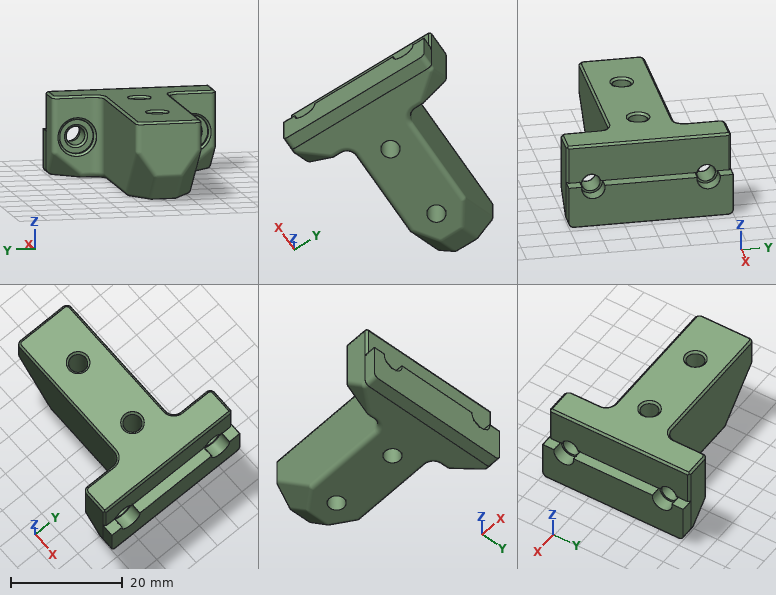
import cadquery as cq
import math

length = 37.0
width = 30.0
height = 15.0

arm_width = 12.0
flange_front = 29.0
flange_back = 34.93
inner_corner_radius = 2.0

edge_radius = 1.0
edge_chamfer = 0.4

strip_front = flange_back - edge_chamfer
strip_height = 7.8

tip_bevel = 5.0
tip_side_chamfer = 3.5
flange_corner_depth = 5.0
flange_corner_width = 6.0

hole_diameter = 3.4
relief_diameter = hole_diameter + 2 * edge_chamfer
arm_hole_positions = (10.0, 25.0)
flange_hole_offset = 10.5
flange_hole_height = height / 2
counterbore_diameter = 6.2
counterbore_depth = 1.0

tolerance = 0.005


def t_block():
    """Plain T-shaped block, full height, with rounded inner corners."""
    arm = cq.Workplane("XY").box(length, arm_width, height, centered=(False, True, False))
    flange = (
        cq.Workplane("XY")
        .box(length - flange_front, width, height, centered=(False, True, False))
        .translate((flange_front, 0, 0))
    )
    inner_corners = cq.selectors.BoxSelector(
        (flange_front - tolerance, -arm_width / 2 - tolerance, 0),
        (flange_front + tolerance, arm_width / 2 + tolerance, height),
    )
    return arm.union(flange).edges(inner_corners).fillet(inner_corner_radius)


def corner_cut(corner_x, side, depth_x, depth_y, depth_z):
    """Tetrahedron that cuts a lower corner: its legs run along X, Y and Z from that corner."""
    corner = cq.Vector(corner_x, side, 0)
    inward = -math.copysign(1, side)
    along_x = corner + cq.Vector(depth_x, 0, 0)
    along_y = corner + cq.Vector(0, inward * depth_y, 0)
    along_z = corner + cq.Vector(0, 0, depth_z)
    triangles = (
        (corner, along_x, along_y),
        (corner, along_y, along_z),
        (corner, along_z, along_x),
        (along_x, along_y, along_z),
    )
    faces = [cq.Face.makeFromWires(cq.Wire.makePolygon(points, close=True)) for points in triangles]
    return cq.Workplane(cq.Solid.makeSolid(cq.Shell.makeShell(faces)))


def cut_bevels(block):
    """Bevel the arm tip at 45 degrees, chamfer the sides of the bevel and cut the flange corners."""
    tip_wedge = (
        cq.Workplane("XZ")
        .polyline([(0, 0), (tip_bevel, 0), (0, tip_bevel)])
        .close()
        .extrude(arm_width / 2, both=True)
    )
    block = block.cut(tip_wedge)
    tip_corner_leg = tip_bevel + math.sqrt(2) * tip_side_chamfer
    tip_corner_width = tip_corner_leg / math.sqrt(2)
    for direction in (-1, 1):
        tip_side = direction * arm_width / 2
        block = block.cut(corner_cut(0, tip_side, tip_corner_leg, tip_corner_width, tip_corner_leg))
        flange_side = direction * width / 2
        block = block.cut(
            corner_cut(
                flange_front, flange_side, flange_corner_depth, flange_corner_width, flange_corner_depth
            )
        )
    return block


def round_edges(block):
    """Round every sharp edge except those of the top face and of the back face."""

    def is_rounded(edge):
        box = edge.BoundingBox()
        on_top = box.zmin > height - tolerance
        on_back = box.xmin > length - tolerance
        is_seam = box.zlen > height - tolerance
        return not (on_top or on_back or is_seam)

    sharp_edges = [edge for edge in block.edges().vals() if is_rounded(edge)]
    return block.newObject(sharp_edges).fillet(edge_radius)


def drill_arm(block):
    """Vertical screw holes through the arm, chamfered at the top."""
    for x in arm_hole_positions:
        hole = cq.Workplane("XY").center(x, 0).circle(hole_diameter / 2).extrude(height)
        sink = (
            cq.Workplane("XY", origin=(x, 0, height - edge_chamfer))
            .circle(hole_diameter / 2)
            .workplane(offset=edge_chamfer)
            .circle(relief_diameter / 2)
            .loft()
        )
        block = block.cut(hole).cut(sink)
    return block


def x_cone(x, y, front_diameter, back_diameter, depth):
    """Conical cutter along +X that starts at x, in line with a flange hole."""
    start = cq.Vector(x, y, flange_hole_height)
    cone = cq.Solid.makeCone(
        front_diameter / 2, back_diameter / 2, depth, pnt=start, dir=cq.Vector(1, 0, 0)
    )
    return cq.Workplane(cone)


def x_cylinder(x, y, diameter, depth):
    """Straight round cutter along +X that starts at x, in line with a flange hole."""
    start = cq.Vector(x, y, flange_hole_height)
    return cq.Workplane(cq.Solid.makeCylinder(diameter / 2, depth, pnt=start, dir=cq.Vector(1, 0, 0)))


def drill_flange(block):
    """Counterbored screw holes through the flange, chamfered at both steps."""
    counterbore_floor = flange_front + counterbore_depth
    rim_diameter = counterbore_diameter + 2 * edge_chamfer
    for y in (-flange_hole_offset, flange_hole_offset):
        rim_clearance = x_cylinder(
            flange_front - inner_corner_radius, y, rim_diameter, inner_corner_radius
        )
        block = (
            block.cut(rim_clearance)
            .cut(x_cone(flange_front, y, rim_diameter, counterbore_diameter, edge_chamfer))
            .cut(x_cylinder(flange_front, y, counterbore_diameter, counterbore_depth))
            .cut(x_cone(counterbore_floor, y, relief_diameter, hole_diameter, edge_chamfer))
            .cut(x_cylinder(flange_front, y, hole_diameter, flange_back - flange_front))
        )
    return block


def strip_envelope():
    """Box that holds the strip: everything behind strip_front and below strip_height."""
    return (
        cq.Workplane("XY")
        .box(length - strip_front, width, strip_height, centered=(False, True, False))
        .translate((strip_front, 0, 0))
    )


def make_bracket(block):
    """T-shaped bracket: its back is stepped to take the strip, its top edges are chamfered."""
    behind = (
        cq.Workplane("XY")
        .box(length, width, height, centered=(False, True, False))
        .translate((flange_back, 0, 0))
    )
    bracket = block.cut(behind)
    bracket = bracket.faces(">Z").edges().chamfer(edge_chamfer)
    bracket = bracket.faces(">X").edges("|Z").chamfer(edge_chamfer)
    bracket = bracket.cut(strip_envelope())
    return drill_flange(drill_arm(bracket))


def make_strip(block):
    """Strip behind the flange, with clearance for the flange screws."""
    strip = block.intersect(strip_envelope())
    for y in (-flange_hole_offset, flange_hole_offset):
        strip = strip.cut(x_cylinder(strip_front, y, relief_diameter, length - strip_front))
    return strip


rounded_block = round_edges(cut_bevels(t_block()))
bracket = make_bracket(rounded_block)
strip = make_strip(rounded_block)
result = cq.Compound.makeCompound([bracket.solids().val(), strip.solids().val()])